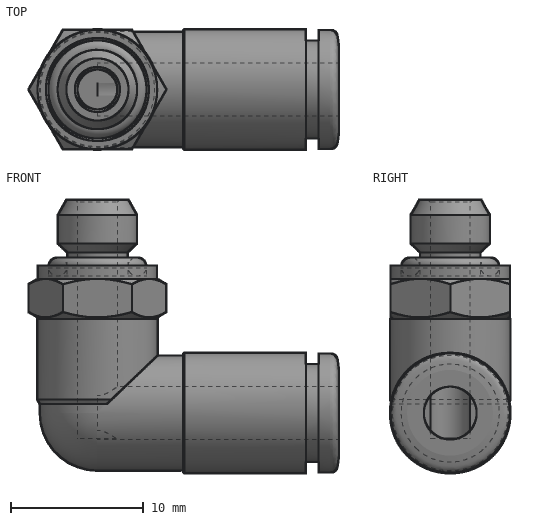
import cadquery as cq
import math


STUD_TOP_Z = 16.08
BARREL_END_X = 18.2

TIP_RADIUS = 3.0
TIP_END_RADIUS = 2.35
NECK_RADIUS = 2.3
TIP_TAPER_Z = 14.9
TIP_BOTTOM_Z = 12.78
NECK_TOP_Z = 12.1

FLANGE_TOP_Z = 11.12
HEX_TOP_Z = 10.1
HEX_BOTTOM_Z = 7.1
HEX_ACROSS_FLATS = 9.0
HEX_INRADIUS = HEX_ACROSS_FLATS / 2
HEX_CORNER_RADIUS = HEX_INRADIUS / math.cos(math.pi / 6)
FLANGE_RADIUS = HEX_INRADIUS
HEX_BOTTOM_FACE_RADIUS = 4.3
HEX_CHAMFER_SLOPE = math.tan(math.radians(30))

BODY_DIAMETER = 9.1
BODY_RADIUS = BODY_DIAMETER / 2
ELBOW_RADIUS = 4.35
COLUMN_BOTTOM_Z = 1.03
COLUMN_TAPER_END_Z = 0.68

BARREL_START_X = 6.45
BARREL_CHAMFER = 0.105
BARREL_SHOULDER_X = 15.7
GROOVE_RADIUS = 3.7
COLLAR_RADIUS = 4.5
COLLAR_START_X = 16.65
COLLAR_ROUND_X = 17.53
COLLAR_SHOULDER_X = 18.0
COLLAR_SHOULDER_RADIUS = 4.25
COLLAR_END_RADIUS = 3.23
COLLAR_NOSE_ANGLE = math.radians(11)

STUD_BORE_RADIUS = 1.5
STUD_BORE_CHAMFER = 0.2
TUBE_BORE_RADIUS = 2.0
BREAKTHROUGH_HALF_WIDTH = 0.47
STUD_BORE_FLOOR_Z = -math.sqrt(TUBE_BORE_RADIUS**2 - BREAKTHROUGH_HALF_WIDTH**2)

RING_OUTER_RADIUS = 3.7
RING_SECTION_RADIUS = (RING_OUTER_RADIUS - NECK_RADIUS) / 2
RING_CENTRE_RADIUS = NECK_RADIUS + RING_SECTION_RADIUS
RING_TOP_Z = 11.72
RING_CENTRE_Z = RING_TOP_Z - RING_SECTION_RADIUS
RECESS_FLOOR_Z = RING_CENTRE_Z - RING_SECTION_RADIUS
RECESS_CHAMFER = 0.19


def revolve_about_z(points):
    """Turn a closed outline of (radius, z) points about the Z axis."""
    return cq.Workplane("XZ").polyline(points).close().revolve(360, (0, 0), (0, 1))


def make_stud():
    """Turned column, flange, recess, neck and tip, down to the level of the barrel axis."""
    return revolve_about_z([
        (0, 0),
        (ELBOW_RADIUS, 0),
        (ELBOW_RADIUS, COLUMN_TAPER_END_Z),
        (BODY_RADIUS, COLUMN_BOTTOM_Z),
        (BODY_RADIUS, HEX_BOTTOM_Z),
        (HEX_BOTTOM_FACE_RADIUS, HEX_BOTTOM_Z),
        (HEX_BOTTOM_FACE_RADIUS, HEX_TOP_Z),
        (FLANGE_RADIUS, HEX_TOP_Z),
        (FLANGE_RADIUS, FLANGE_TOP_Z),
        (RING_OUTER_RADIUS + RECESS_CHAMFER, FLANGE_TOP_Z),
        (RING_OUTER_RADIUS, FLANGE_TOP_Z - RECESS_CHAMFER),
        (RING_OUTER_RADIUS, RECESS_FLOOR_Z),
        (NECK_RADIUS, RECESS_FLOOR_Z),
        (NECK_RADIUS, NECK_TOP_Z),
        (TIP_RADIUS, TIP_BOTTOM_Z),
        (TIP_RADIUS, TIP_TAPER_Z),
        (TIP_END_RADIUS, STUD_TOP_Z),
        (0, STUD_TOP_Z),
    ])


def cut_mitre(stud):
    """Slope the underside of the column up to where it meets the top of the elbow neck."""
    reach = 2.0
    wedge = (
        cq.Workplane("XZ")
        .polyline([(0, 0), (reach * BODY_RADIUS, 0), (reach * BODY_RADIUS, reach * ELBOW_RADIUS)])
        .close()
        .extrude(2 * BODY_RADIUS, both=True)
    )
    return stud.cut(wedge)


def make_hexagon():
    """Hexagon with corners on the X axis, turned off at 30 degrees top and bottom."""
    prism = (
        cq.Workplane("XY")
        .workplane(offset=HEX_BOTTOM_Z)
        .polygon(6, 2 * HEX_CORNER_RADIUS)
        .extrude(HEX_TOP_Z - HEX_BOTTOM_Z)
    )
    top_drop = (HEX_CORNER_RADIUS - HEX_INRADIUS) * HEX_CHAMFER_SLOPE
    bottom_rise = (HEX_CORNER_RADIUS - HEX_BOTTOM_FACE_RADIUS) * HEX_CHAMFER_SLOPE
    turned_blank = revolve_about_z([
        (0, HEX_BOTTOM_Z),
        (HEX_BOTTOM_FACE_RADIUS, HEX_BOTTOM_Z),
        (HEX_CORNER_RADIUS, HEX_BOTTOM_Z + bottom_rise),
        (HEX_CORNER_RADIUS, HEX_TOP_Z - top_drop),
        (HEX_INRADIUS, HEX_TOP_Z),
        (0, HEX_TOP_Z),
    ])
    return prism.intersect(turned_blank)


def make_barrel():
    """Ball end, elbow neck, barrel, groove and rounded collar, turned about X."""
    ball_middle = ELBOW_RADIUS * math.sqrt(0.5)
    return (
        cq.Workplane("XZ")
        .moveTo(-ELBOW_RADIUS, 0)
        .threePointArc((-ball_middle, ball_middle), (0, ELBOW_RADIUS))
        .lineTo(BARREL_START_X, ELBOW_RADIUS)
        .lineTo(BARREL_START_X, BODY_RADIUS - BARREL_CHAMFER)
        .lineTo(BARREL_START_X + BARREL_CHAMFER, BODY_RADIUS)
        .lineTo(BARREL_SHOULDER_X, BODY_RADIUS)
        .lineTo(BARREL_SHOULDER_X, GROOVE_RADIUS)
        .lineTo(COLLAR_START_X, GROOVE_RADIUS)
        .lineTo(COLLAR_START_X, COLLAR_RADIUS)
        .lineTo(COLLAR_ROUND_X, COLLAR_RADIUS)
        .spline(
            [(COLLAR_SHOULDER_X, COLLAR_SHOULDER_RADIUS), (BARREL_END_X, COLLAR_END_RADIUS)],
            tangents=[(1, 0), (math.sin(COLLAR_NOSE_ANGLE), -math.cos(COLLAR_NOSE_ANGLE))],
            includeCurrent=True,
        )
        .lineTo(BARREL_END_X, 0)
        .close()
        .revolve(360, (0, 0), (1, 0))
    )


def make_stud_bore():
    """Blind bore down the stud with a chamfered mouth."""
    return revolve_about_z([
        (0, STUD_BORE_FLOOR_Z),
        (STUD_BORE_RADIUS, STUD_BORE_FLOOR_Z),
        (STUD_BORE_RADIUS, STUD_TOP_Z - STUD_BORE_CHAMFER),
        (STUD_BORE_RADIUS + STUD_BORE_CHAMFER, STUD_TOP_Z),
        (0, STUD_TOP_Z),
    ])


def make_tube_bore():
    """Bore from the stud axis out through the end of the barrel."""
    return cq.Workplane("YZ").circle(TUBE_BORE_RADIUS).extrude(BARREL_END_X)


def make_fitting():
    """The one-piece elbow: stud, hexagon and barrel with both passages."""
    elbow = cut_mitre(make_stud()).union(make_hexagon()).union(make_barrel())
    return elbow.cut(make_stud_bore()).cut(make_tube_bore())


def make_o_ring():
    """Round-section sealing ring lying in the flange recess around the neck."""
    return (
        cq.Workplane("XZ")
        .center(RING_CENTRE_RADIUS, RING_CENTRE_Z)
        .circle(RING_SECTION_RADIUS)
        .revolve(360, (-RING_CENTRE_RADIUS, 0), (-RING_CENTRE_RADIUS, 1))
    )


fitting = make_fitting()
o_ring = make_o_ring()

result = cq.Compound.makeCompound([fitting.solids().val(), o_ring.val()])